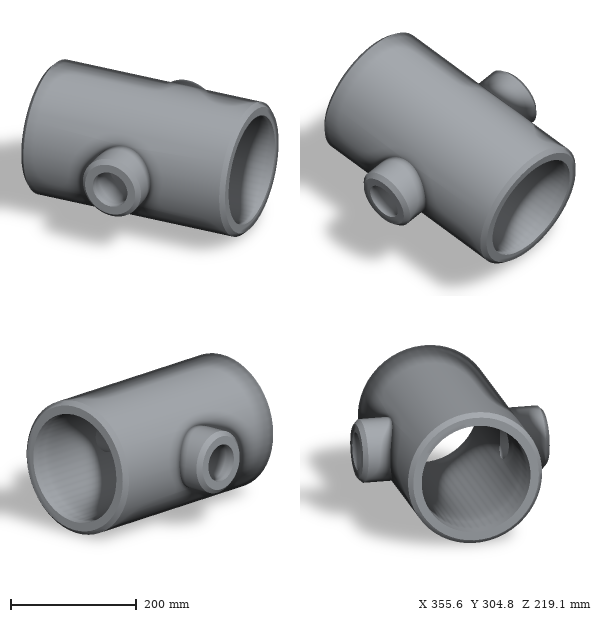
import cadquery as cq

main_length = 355.6
main_diameter = 219.075
main_bore = 177.8

branch_length = 304.8
branch_diameter = 101.6
branch_bore = 60.325

end_bevel = 7.0

main_plane = "YZ"
branch_plane = "XZ"


def cylinder(plane, diameter, length):
    """Cylinder normal to the plane and centred on the origin."""
    return cq.Workplane(plane).circle(diameter / 2).extrude(length / 2, both=True)


def beveled_cylinder(plane, diameter, length):
    """Centred cylinder with the rims of both flat ends beveled."""
    return cylinder(plane, diameter, length).faces("%PLANE").chamfer(end_bevel)


main_body = beveled_cylinder(main_plane, main_diameter, main_length)
branch_body = beveled_cylinder(branch_plane, branch_diameter, branch_length)

result = (
    main_body.union(branch_body)
    .cut(cylinder(main_plane, main_bore, main_length))
    .cut(cylinder(branch_plane, branch_bore, branch_length))
)